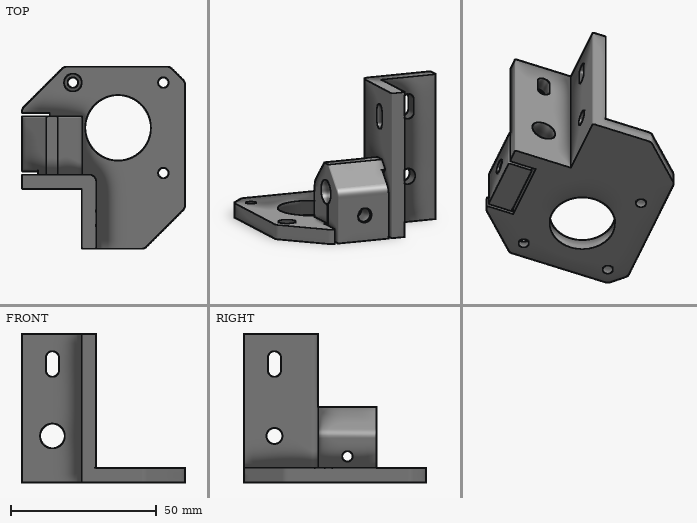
import cadquery as cq
import math

plate_length_x = 56.0
plate_length_y = 62.5
plate_thickness = 5.1
front_right_chamfer = 14.0
rear_right_chamfer = 5.3
rear_left_chamfer = 14.5
plate_corner_radius = 2.5

motor_x = 33.0
motor_y = 41.5
motor_boss_diameter = 22.4
motor_screw_spacing = 31.0
screw_diameter = 3.5
counterbore_diameter = 6.1
counterbore_depth = 2.0

wall_height = 51.0
wall_thickness = 5.0
wall_outer = 25.5
wall_inner = wall_outer - wall_thickness
wall_corner_radius = 2.5
edge_radius = 0.5

opening_offset = 10.5
opening_z = 16.0
rod_diameter = 8.4
side_hole_diameter = 5.4
slot_width = 4.4
slot_height = 8.7
slot_z = 40.65

block_width = 20.8
block_height = 26.0
block_length = 20.0
block_end_y = wall_outer + block_length
block_top_width = 4.0
block_shoulder_radius = 5.0
block_slope_run = (block_width - block_top_width) / 2
block_shoulder_z = block_height - block_slope_run

arm_gap = 1.0
fixed_jaw_x = 9.5
hinge_x = 5.5
hinge_z = block_shoulder_z + hinge_x

clamp_screw_y = wall_outer + block_length / 2
clamp_screw_z = 9.0
insert_diameter = 4.7
insert_lead_diameter = 5.0
insert_lead_depth = 1.0


pick_reach = 0.05


def vertical_edge(x, y):
    """Box selector for the upright edge whose middle stands at (x, y)."""
    return cq.selectors.BoxSelector(
        (x - pick_reach, y - pick_reach, 0), (x + pick_reach, y + pick_reach, wall_height)
    )


def cylinder_x(diameter, x_start, length, y, z):
    return cq.Workplane("YZ", origin=(x_start, y, z)).circle(diameter / 2).extrude(length)


def cylinder_y(diameter, y_start, length, x, z):
    return cq.Workplane("XZ", origin=(x, y_start, z)).circle(diameter / 2).extrude(-length)


def make_plate():
    wall_middle = wall_outer - wall_thickness / 2
    gap_rear_y = block_end_y + arm_gap
    front_right = (plate_length_x - front_right_chamfer, 0)
    right_front = (plate_length_x, front_right_chamfer)
    right_rear = (plate_length_x, plate_length_y - rear_right_chamfer)
    rear_right = (plate_length_x - rear_right_chamfer, plate_length_y)
    rear_left = (rear_left_chamfer, plate_length_y)
    left_rear = (0, plate_length_y - rear_left_chamfer)
    chamfer_corners = [front_right, right_front, right_rear, rear_right, rear_left, left_rear]
    outline = [(wall_middle, 0)] + chamfer_corners + [
        (0, gap_rear_y),
        (fixed_jaw_x, gap_rear_y),
        (fixed_jaw_x, wall_middle),
        (wall_middle, wall_middle),
    ]
    plate = cq.Workplane("XY").polyline(outline).close().extrude(plate_thickness)
    for x, y in chamfer_corners:
        plate = plate.edges(vertical_edge(x, y)).fillet(plate_corner_radius)
    return plate.edges(vertical_edge(0, gap_rear_y)).fillet(edge_radius)


def make_wall():
    outline = [
        (0, wall_inner),
        (wall_inner, wall_inner),
        (wall_inner, 0),
        (wall_outer, 0),
        (wall_outer, wall_outer),
        (0, wall_outer),
    ]
    wall = cq.Workplane("XY").polyline(outline).close().extrude(wall_height)
    for x, y in [(0, wall_inner), (wall_inner, 0), (wall_outer, 0), (0, wall_outer)]:
        wall = wall.edges(vertical_edge(x, y)).fillet(edge_radius)
    return wall.edges(vertical_edge(wall_outer, wall_outer)).fillet(wall_corner_radius)


def make_block():
    """House-shaped block with rounded shoulders, its rear side edges eased."""
    outline = [
        (0, 0),
        (block_width, 0),
        (block_width, block_shoulder_z),
        (block_width - block_slope_run, block_height),
        (block_slope_run, block_height),
        (0, block_shoulder_z),
    ]
    block = (
        cq.Workplane("XZ", origin=(0, wall_outer, 0))
        .polyline(outline).close()
        .extrude(-block_length)
    )
    for x in (0, block_width):
        shoulder = cq.selectors.NearestToPointSelector((x, clamp_screw_y, block_shoulder_z))
        block = block.edges(shoulder).fillet(block_shoulder_radius)
    for x in (0, block_width):
        block = block.edges(vertical_edge(x, block_end_y)).fillet(edge_radius)
    return block


def make_arm_relief():
    """Gap between the arm and the wall, ending square to the left slope."""
    outline = [
        (-arm_gap, 0),
        (fixed_jaw_x, 0),
        (fixed_jaw_x, opening_z),
        (opening_offset, hinge_z - (opening_offset - hinge_x)),
        (hinge_x - arm_gap, hinge_z + arm_gap),
        (-arm_gap, hinge_z + arm_gap),
    ]
    return (
        cq.Workplane("XZ", origin=(0, wall_outer, 0))
        .polyline(outline).close()
        .extrude(-arm_gap)
    )


def make_jaw_slit():
    """Slit from the underside up into the rod bore, between arm and fixed jaw."""
    return cq.Workplane("XY").box(
        arm_gap, block_length, opening_z, centered=False
    ).translate((fixed_jaw_x - arm_gap, wall_outer, 0))


def make_clamp():
    rod_bore = cylinder_y(rod_diameter, 0, plate_length_y, opening_offset, opening_z)
    clamp = make_block().cut(rod_bore).cut(make_arm_relief()).cut(make_jaw_slit())
    clamp = clamp.edges(vertical_edge(0, wall_outer + arm_gap)).fillet(edge_radius)
    for x in (fixed_jaw_x - arm_gap, fixed_jaw_x):
        lip_drop = math.sqrt((rod_diameter / 2) ** 2 - (opening_offset - x) ** 2)
        lip = cq.selectors.NearestToPointSelector((x, clamp_screw_y, opening_z - lip_drop))
        clamp = clamp.edges(lip).fillet(edge_radius)
    return clamp


def cut_wall_openings(part):
    front_slot = (
        cq.Workplane("XZ", origin=(opening_offset, 0, slot_z))
        .slot2D(slot_height, slot_width, 90)
        .extrude(-wall_outer)
    )
    side_slot = (
        cq.Workplane("YZ", origin=(0, opening_offset, slot_z))
        .slot2D(slot_height, slot_width, 90)
        .extrude(wall_outer)
    )
    rod_hole = cylinder_y(rod_diameter, 0, wall_outer, opening_offset, opening_z)
    side_hole = cylinder_x(side_hole_diameter, 0, wall_outer, opening_offset, opening_z)
    return part.cut(front_slot).cut(side_slot).cut(rod_hole).cut(side_hole)


def cut_motor_mount(part):
    """Motor boss hole and three screw holes, the rear left one counterbored."""
    half = motor_screw_spacing / 2
    top = cq.Workplane("XY", origin=(motor_x, motor_y, plate_thickness))
    boss_hole = top.circle(motor_boss_diameter / 2).extrude(-plate_thickness)
    screw_holes = (
        top.pushPoints([(-half, half), (half, half), (half, -half)])
        .circle(screw_diameter / 2)
        .extrude(-plate_thickness)
    )
    counterbore = top.center(-half, half).circle(counterbore_diameter / 2).extrude(-counterbore_depth)
    return part.cut(boss_hole).cut(screw_holes).cut(counterbore)


def cut_clamp_screw(part):
    """Screw hole through the block, widened in the arm for a threaded insert."""
    arm_width = fixed_jaw_x - arm_gap
    screw = cylinder_x(screw_diameter, 0, block_width, clamp_screw_y, clamp_screw_z)
    insert = cylinder_x(insert_diameter, 0, arm_width, clamp_screw_y, clamp_screw_z)
    lead = cylinder_x(insert_lead_diameter, 0, insert_lead_depth, clamp_screw_y, clamp_screw_z)
    return part.cut(screw).cut(insert).cut(lead)


bracket = make_plate().union(make_wall()).union(make_clamp())
bracket = cut_wall_openings(bracket)
bracket = cut_motor_mount(bracket)
result = cut_clamp_screw(bracket)